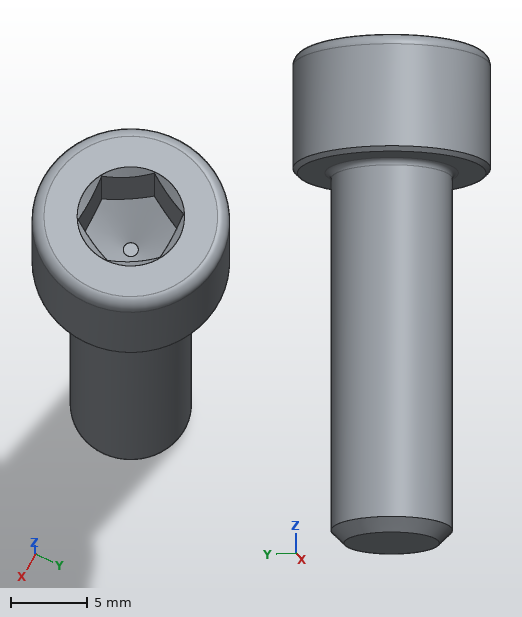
import cadquery as cq
import math

total_length = 33
head_diameter = 13.0
head_height = 8.0
shank_diameter = 8.0
shank_length = total_length - head_height

head_top_fillet = 0.8
head_bottom_chamfer = 0.3
neck_fillet = 0.4
tip_chamfer = 0.85

socket_across_flats = 6.0
socket_across_corners = socket_across_flats / math.cos(math.pi / 6)
socket_depth = 4.0
socket_cone_angle = 120
socket_floor_diameter = 1
mouth_diameter = 7.05
mouth_cone_angle = 90


def cone_depth(large_diameter, small_diameter, included_angle):
    """Axial length of a cone between two diameters."""
    half_angle = math.radians(included_angle / 2)
    return (large_diameter - small_diameter) / 2 / math.tan(half_angle)


def tapered_cutter(top_z, top_diameter, bottom_diameter, included_angle):
    """Solid frustum that narrows downwards from top_z."""
    depth = cone_depth(top_diameter, bottom_diameter, included_angle)
    return (
        cq.Workplane("XZ")
        .moveTo(0, top_z)
        .lineTo(top_diameter / 2, top_z)
        .lineTo(bottom_diameter / 2, top_z - depth)
        .lineTo(0, top_z - depth)
        .close()
        .revolve(360, (0, 0, 0), (0, 1, 0))
    )


def make_shank():
    shank = cq.Workplane("XY").circle(shank_diameter / 2).extrude(shank_length)
    return shank.faces("<Z").chamfer(tip_chamfer)


def make_head():
    head = (
        cq.Workplane("XY")
        .workplane(offset=shank_length)
        .circle(head_diameter / 2)
        .extrude(head_height)
    )
    head = head.faces(">Z").edges().fillet(head_top_fillet)
    return head.faces("<Z").edges().chamfer(head_bottom_chamfer)


def make_neck():
    """Concave fillet ring between the shank and the underside of the head."""
    shank_radius = shank_diameter / 2
    fillet_radius = shank_radius + neck_fillet
    arc_offset = neck_fillet * (1 - math.sqrt(0.5))
    return (
        cq.Workplane("XZ")
        .moveTo(0, shank_length - neck_fillet)
        .lineTo(shank_radius, shank_length - neck_fillet)
        .threePointArc(
            (shank_radius + arc_offset, shank_length - arc_offset),
            (fillet_radius, shank_length),
        )
        .lineTo(0, shank_length)
        .close()
        .revolve(360, (0, 0, 0), (0, 1, 0))
    )


def make_socket():
    """Hexagon with corners on X, a conical floor and a countersunk mouth."""
    wall_end_z = total_length - socket_depth
    floor_depth = cone_depth(socket_across_corners, socket_floor_diameter, socket_cone_angle)
    hexagon = (
        cq.Workplane("XY")
        .workplane(offset=wall_end_z - floor_depth)
        .polygon(6, socket_across_corners)
        .extrude(socket_depth + floor_depth)
    )
    drill = tapered_cutter(
        wall_end_z, socket_across_corners, socket_floor_diameter, socket_cone_angle
    )
    drill_body = (
        cq.Workplane("XY")
        .workplane(offset=wall_end_z)
        .circle(socket_across_corners / 2)
        .extrude(socket_depth)
    )
    mouth = tapered_cutter(
        total_length, mouth_diameter, socket_across_flats, mouth_cone_angle
    )
    return hexagon.intersect(drill.union(drill_body)).union(mouth)


result = make_shank().union(make_head()).union(make_neck()).cut(make_socket())